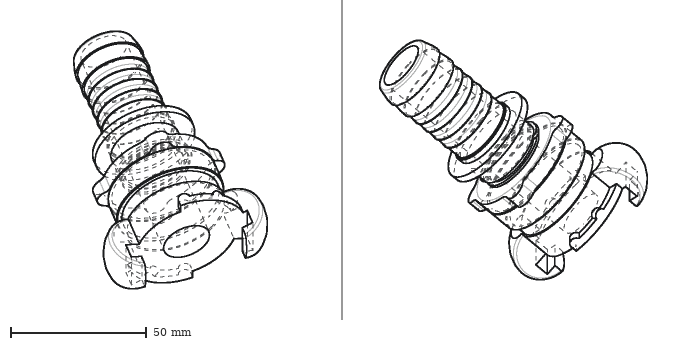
import cadquery as cq
import math


BORE_DIA = 18.0
HOSE_DIA = 25.0
TIP_DIA = 24.0
TIP_ROUND = 0.8
BARB_DIA = 26.5
BARB_CROWN = 0.7
BARB_ENDS = (6.9, 14.0)
RIB_DIA = 25.7
RIB_START = 16.8
RIB_LENGTH = 2.5
RIB_COUNT = 4
SHOULDER_START = 40.6
SHOULDER_CHAMFER = 0.4
FLANGE_DIA = 39.0
FLANGE_START = 43.2
FLANGE_END = 46.1
SHANK_DIA = 26.7
GROOVE_DIA = 23.0
GROOVE_START = 55.2
GROOVE_END = 57.0

RING_DIA = 42.0
GRIP_START = 57.9
GRIP_END = 64.4
RING_END = 74.4
RING_CHAMFER = 0.3
NECK_DIA = 38.0
HEAD_DIA = 39.4
HEAD_START = 80.1
HEAD_END = 92.5

LOBE_COUNT = 4
LOBE_REACH = 25.0
LOBE_TIP_RADIUS = 4.3
LOBE_FILLET = 3.5
COLLAR_FACE_DIA = 39.0
LOBE_FRONT_BEVEL = 0.9
LOBE_BACK_BEVEL = 0.4

CLAW_SPAN = 62.9
CLAW_REACH = CLAW_SPAN / 2
CLAW_RADIUS = 12.1
CLAW_CROWN_RADIUS = 24.8
CLAW_HALF_ANGLE = 20.0
CLAW_EDGE_ROUND = 1.0
CLAW_SLOT_WIDTH = 5.9
CLAW_SLOT_REACH = 23.7
HOOK_END_Y = 19.7
OVERALL_LENGTH = 103.2
CLAW_CENTER_Y = CLAW_REACH - CLAW_RADIUS
CLAW_CENTER_X = OVERALL_LENGTH - math.sqrt(CLAW_RADIUS**2 - (HOOK_END_Y - CLAW_CENTER_Y) ** 2)

BAYONET_RADIUS = 23.5
BAYONET_THICKNESS = 3.1
STOP_RADIUS = 2.4
STOP_INSET = 0.7
STOP_ANGLES = (55.0, 90.0)

CLIP_DIA = 29.5
CLIP_THICKNESS = 1.2
CLIP_ARM_DROP = 0.7


def cylinder(diameter, start, end):
    """Solid cylinder along X from start to end."""
    return cq.Workplane("YZ", origin=(start, 0, 0)).circle(diameter / 2).extrude(end - start)


def rotated(shape, angle):
    """Copy turned about the coupling axis."""
    return shape.rotate((0, 0, 0), (1, 0, 0), angle)


def hose_tail():
    """Barbed and ribbed tube with a round flange and a clip groove, revolved about X."""
    hose_r = HOSE_DIA / 2
    barb_r = BARB_DIA / 2
    shank_r = SHANK_DIA / 2
    flange_r = FLANGE_DIA / 2
    groove_r = GROOVE_DIA / 2
    tip_r = TIP_DIA / 2

    profile = cq.Workplane("XY").moveTo(0, 0).lineTo(0, tip_r - TIP_ROUND)
    profile = profile.radiusArc((TIP_ROUND, tip_r), TIP_ROUND)
    barb_start = (TIP_ROUND, tip_r)
    for barb_end in BARB_ENDS:
        start_x, start_r = barb_start
        crown = ((start_x + barb_end) / 2, start_r + BARB_CROWN * (barb_r - start_r))
        profile = profile.threePointArc(crown, (barb_end, barb_r)).lineTo(barb_end, hose_r)
        barb_start = (barb_end, hose_r)
    for i in range(RIB_COUNT):
        rib_start = RIB_START + 2 * i * RIB_LENGTH
        rib_end = rib_start + RIB_LENGTH
        profile = profile.lineTo(rib_start, hose_r).lineTo(rib_end, RIB_DIA / 2).lineTo(rib_end, hose_r)
    profile = (
        profile.lineTo(SHOULDER_START, hose_r)
        .lineTo(SHOULDER_START, barb_r - SHOULDER_CHAMFER)
        .lineTo(SHOULDER_START + SHOULDER_CHAMFER, barb_r)
        .lineTo(FLANGE_START, barb_r)
        .lineTo(FLANGE_START, flange_r)
        .lineTo(FLANGE_END, flange_r)
        .lineTo(FLANGE_END, shank_r)
        .lineTo(GROOVE_START, shank_r)
        .lineTo(GROOVE_START, groove_r)
        .lineTo(GROOVE_END, groove_r)
        .lineTo(GROOVE_END, shank_r)
        .lineTo(GRIP_START, shank_r)
        .lineTo(GRIP_START, 0)
        .close()
    )
    return profile.revolve(360, (0, 0, 0), (1, 0, 0))


def lobe():
    """One rounded grip lobe on +Z, blended into the collar by concave fillets."""
    base_r = RING_DIA / 2
    tip_z = LOBE_REACH - LOBE_TIP_RADIUS
    to_axis = base_r + LOBE_FILLET
    to_tip = LOBE_TIP_RADIUS + LOBE_FILLET
    fillet_z = (to_axis**2 - to_tip**2 + tip_z**2) / (2 * tip_z)
    fillet_y = math.sqrt(to_axis**2 - fillet_z**2)
    foot = (fillet_y * base_r / to_axis, fillet_z * base_r / to_axis)
    tip_share = LOBE_TIP_RADIUS / to_tip
    blend = (fillet_y * tip_share, tip_z + (fillet_z - tip_z) * tip_share)
    to_foot = (foot[0] - fillet_y, foot[1] - fillet_z)
    to_blend = (blend[0] - fillet_y, blend[1] - fillet_z)
    mid = (to_foot[0] + to_blend[0], to_foot[1] + to_blend[1])
    scale = LOBE_FILLET / math.hypot(*mid)
    waist = (fillet_y + mid[0] * scale, fillet_z + mid[1] * scale)
    return (
        cq.Workplane("YZ", origin=(GRIP_START, 0, 0))
        .moveTo(0, 0)
        .lineTo(*foot)
        .threePointArc(waist, blend)
        .threePointArc((0, LOBE_REACH), (-blend[0], blend[1]))
        .threePointArc((-waist[0], waist[1]), (-foot[0], foot[1]))
        .close()
        .extrude(GRIP_END - GRIP_START)
    )


def lobed_collar():
    """Grip collar with evenly spaced lobes, its end faces bevelled toward the rim."""
    collar = cylinder(RING_DIA, GRIP_START, GRIP_END)
    for i in range(LOBE_COUNT):
        collar = collar.union(rotated(lobe(), i * 360 / LOBE_COUNT))
    envelope = (
        cq.Workplane("XY")
        .moveTo(GRIP_START, 0)
        .lineTo(GRIP_START, COLLAR_FACE_DIA / 2)
        .lineTo(GRIP_START + LOBE_FRONT_BEVEL, LOBE_REACH)
        .lineTo(GRIP_END - LOBE_BACK_BEVEL, LOBE_REACH)
        .lineTo(GRIP_END, COLLAR_FACE_DIA / 2)
        .lineTo(GRIP_END, 0)
        .close()
        .revolve(360, (0, 0, 0), (1, 0, 0))
    )
    return collar.intersect(envelope)


def head():
    """Plain ring, neck and head barrel."""
    ring = cylinder(RING_DIA, GRIP_END, RING_END).faces("<X or >X").chamfer(RING_CHAMFER)
    neck = cylinder(NECK_DIA, RING_END, HEAD_START)
    barrel = cylinder(HEAD_DIA, HEAD_START, HEAD_END)
    return ring.union(neck).union(barrel)


def front_box(length, reach, height):
    """Block starting at the head's front face and running from the axis out to +Y."""
    block = cq.Workplane("XY").box(length, reach, height, centered=(False, False, True))
    return block.translate((HEAD_END, 0, 0))


def claw():
    """Hooked claw on +Y: a barrel-shaped disc trimmed to a wedge, with a slot behind the hook."""
    half_height = CLAW_REACH * math.tan(math.radians(CLAW_HALF_ANGLE))
    crown_drop = CLAW_CROWN_RADIUS - math.sqrt(CLAW_CROWN_RADIUS**2 - half_height**2)
    edge_radius = CLAW_RADIUS - crown_drop
    disc = (
        cq.Workplane("XZ", origin=(CLAW_CENTER_X, CLAW_CENTER_Y, 0))
        .moveTo(0, -half_height)
        .lineTo(edge_radius, -half_height)
        .threePointArc((CLAW_RADIUS, 0), (edge_radius, half_height))
        .lineTo(0, half_height)
        .close()
        .revolve(360, (0, 0, 0), (0, 1, 0))
    )
    wedge = (
        cq.Workplane("YZ", origin=(CLAW_CENTER_X, 0, 0))
        .polyline([(0, 0), (CLAW_REACH, -half_height), (CLAW_REACH, half_height)])
        .close()
        .extrude(2 * CLAW_RADIUS, both=True)
    )
    body = wedge.intersect(disc).edges(">Z or <Z").fillet(CLAW_EDGE_ROUND)
    behind_head = (
        cq.Workplane("XY")
        .box(CLAW_RADIUS, 2 * CLAW_REACH, 2 * half_height)
        .translate((HEAD_START - CLAW_RADIUS / 2, 0, 0))
    )
    below_hook = front_box(2 * CLAW_RADIUS, HOOK_END_Y, 2 * half_height)
    slot = front_box(CLAW_SLOT_WIDTH, CLAW_SLOT_REACH, 2 * half_height)
    return body.cut(behind_head).cut(below_hook).cut(slot)


def bayonet_segment():
    """Flange segment from the +Y claw to just past +Z, with two radial stops on its back face."""
    back_x = HEAD_END - BAYONET_THICKNESS
    sector = (
        cq.Workplane("YZ", origin=(back_x, 0, 0))
        .moveTo(-STOP_RADIUS, 0)
        .lineTo(BAYONET_RADIUS, 0)
        .lineTo(BAYONET_RADIUS, BAYONET_RADIUS)
        .lineTo(-STOP_RADIUS, BAYONET_RADIUS)
        .close()
        .extrude(BAYONET_THICKNESS)
    )
    square_end = (
        cq.Workplane("XY")
        .box(STOP_INSET, STOP_RADIUS, BAYONET_RADIUS, centered=False)
        .translate((back_x, -STOP_RADIUS, 0))
    )
    segment = cylinder(2 * BAYONET_RADIUS, back_x, HEAD_END).intersect(sector).cut(square_end)
    stop_reach = cylinder(2 * BAYONET_RADIUS, back_x - STOP_RADIUS, HEAD_END)
    for angle in STOP_ANGLES:
        stop = (
            cq.Workplane("XY")
            .center(back_x + STOP_INSET, 0)
            .circle(STOP_RADIUS)
            .extrude(2 * BAYONET_RADIUS)
        )
        segment = segment.union(rotated(stop, angle - 90).intersect(stop_reach))
    return segment


def coupling():
    """Hose tail, collar and claw head in one piece, bored through."""
    body = hose_tail().union(lobed_collar()).union(head())
    for turn in (0, 180):
        body = body.union(rotated(claw(), turn)).union(rotated(bayonet_segment(), turn))
    return body.cut(cylinder(BORE_DIA, 0, HEAD_END))


def retaining_clip():
    """Half-ring clip with short straight arms and round ends, seated in the groove from +Z."""
    outer_r = CLIP_DIA / 2
    inner_r = GROOVE_DIA / 2
    mid_r = (outer_r + inner_r) / 2
    end_z = -CLIP_ARM_DROP
    end_tip = end_z - (outer_r - inner_r) / 2
    return (
        cq.Workplane("YZ", origin=(GROOVE_START, 0, 0))
        .moveTo(outer_r, 0)
        .threePointArc((0, outer_r), (-outer_r, 0))
        .lineTo(-outer_r, end_z)
        .threePointArc((-mid_r, end_tip), (-inner_r, end_z))
        .lineTo(-inner_r, 0)
        .threePointArc((0, inner_r), (inner_r, 0))
        .lineTo(inner_r, end_z)
        .threePointArc((mid_r, end_tip), (outer_r, end_z))
        .close()
        .extrude(CLIP_THICKNESS)
    )


result = cq.Compound.makeCompound([coupling().val(), retaining_clip().val()])